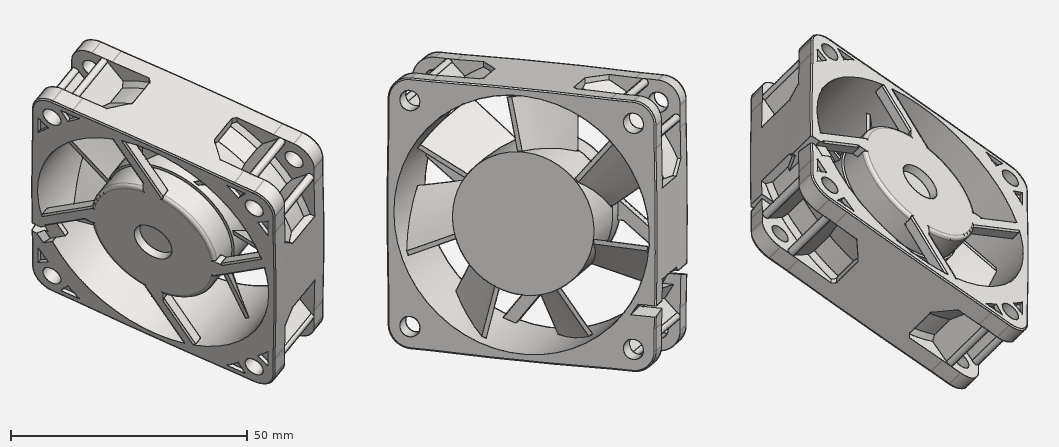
import cadquery as cq
import math

DEPTH = 20.2
FRONT = -DEPTH / 2
BACK = DEPTH / 2

HALF_SIDE = 29.95
SIDE_BOW = 0.25
CORNER_RADIUS = 5.0
BOW_START = HALF_SIDE - 2 * CORNER_RADIUS
RIM_CHAMFER = 0.3
DUCT_RADIUS = 28.55
MOUNT_OFFSET = 25.0
MOUNT_HOLE_DIAMETER = 4.45

BACK_FLANGE_Y = 6.15
FRONT_FLANGE_Y = -5.85
POCKET_START = 10.1
POCKET_SLOPE_Y = -1.75
POCKET_SLOPE_RUN = 3.9
POCKET_BACK_CHAMFER = 0.8
SIDE_SLOPE_Y = -2.9
SIDE_SLOPE_RUN = 2.95

DUCT_OUTER_RADIUS = 29.95
DUCT_BACK_RADIUS = 30.75
DUCT_FRONT_RADIUS = 32.15
BAND_BACK_Y = 4.85
BAND_FRONT_Y = -0.2

POST_NEAR = 21.9
POST_FAR = 29.05
POST_DIAMETER = 1.8
WEB_THICKNESS = 1.6
WEB_LENGTH = 7.85

TRIANGLE = [(-22.8, 28.4), (-18.3, 28.4), (-21.1, 25.9)]
TRIANGLE_DEPTH = 0.9

BASE_RADIUS = 15.45
BASE_LENGTH = 6.65
BASE_FILLET = 0.85
DIMPLE_RADIUS = 4.65
DIMPLE_DEPTH = 1.8
DIMPLE_TAPER = 10
STRUT_COUNT = 4
STRUT_ANGLE = 38.0
STRUT_INNER = 8.3
STRUT_OUTER = 11.2
STRUT_END = 27.8
STRUT_START = 10.25
FOOT_START = 15.1
FOOT_BURIED_Z = 14.6
STRUT_DEPTH = 2.4
STRUT_CHAMFER = 0.35

WIRE_FLOOR_Y = -8.75
WIRE_NEAR = 4.2
WIRE_START = 25.25
WIRE_END = 29.95
WIRE_SLOPE_END = 31.1
WIRE_TOP_Z = -11.2
WIRE_SPLIT_Z = -14.9
FRONT_GAP_INNER_Z = -12.55
FRONT_GAP_OUTER_Z = -13.7
BACK_GAP_INNER_Z = -16.55
BACK_GAP_OUTER_Z = -17.4

BLADE_COUNT = 7
FIRST_BLADE_ANGLE = 147.5
HUB_RADIUS = 15.8
HUB_GAP = 0.3
HUB_BACK_Y = 9.05
BLADE_TIP_RADIUS = 27.7
BLADE_ROOT_RADIUS = 15.1
BLADE_FRONT_Y = -2.4
BLADE_BACK_Y = 8.45
BLADE_EDGE_WIDTH = 1.1
TIP_START = -14.5
TIP_END = 11.5
ROOT_START = -9.5
ROOT_END = 27.0

BIG = 36.25
CUT_OVERLAP = 0.6
CORNER_SIGNS = [(-1, -1), (-1, 1), (1, -1), (1, 1)]


def front_plane(y):
    """Sketch plane with local X along X, local Y along Z, extruding toward +Y."""
    return cq.Workplane(cq.Plane(origin=(0, y, 0), xDir=(1, 0, 0), normal=(0, -1, 0)))


def prism(points, y_from, y_to):
    return front_plane(y_from).polyline(points).close().extrude(-(y_to - y_from))


def cylinder(radius, y_from, y_to, x=0, z=0):
    return front_plane(y_from).center(x, z).circle(radius).extrude(-(y_to - y_from))


def side_prism(points, x_from, x_to):
    """Prism along X over a (y, z) outline."""
    return cq.Workplane("YZ").workplane(offset=x_from).polyline(points).close().extrude(x_to - x_from)


def frame_block():
    corner = HALF_SIDE - CORNER_RADIUS
    diagonal = corner + CORNER_RADIUS * math.sqrt(0.5)
    bowed = HALF_SIDE + SIDE_BOW
    outline = front_plane(FRONT).moveTo(-BOW_START, HALF_SIDE)
    for angle in (0, -90, -180, -270):
        def turned(x, z, turn=math.radians(angle)):
            return (
                x * math.cos(turn) - z * math.sin(turn),
                x * math.sin(turn) + z * math.cos(turn),
            )

        outline = (
            outline.threePointArc(turned(0, bowed), turned(BOW_START, HALF_SIDE))
            .lineTo(*turned(corner, HALF_SIDE))
            .threePointArc(turned(diagonal, diagonal), turned(HALF_SIDE, corner))
            .lineTo(*turned(HALF_SIDE, BOW_START))
        )
    block = outline.close().extrude(-DEPTH)
    return block.faces("<Y or >Y").edges().chamfer(RIM_CHAMFER)


def duct_outside():
    """Solid whose outer surface is the duct wall in the corner pockets."""
    profile = [
        (0, FRONT_FLANGE_Y),
        (DUCT_FRONT_RADIUS, FRONT_FLANGE_Y),
        (DUCT_OUTER_RADIUS, BAND_FRONT_Y),
        (DUCT_OUTER_RADIUS, BAND_BACK_Y),
        (DUCT_BACK_RADIUS, BACK_FLANGE_Y),
        (0, BACK_FLANGE_Y),
    ]
    return cq.Workplane("XY").polyline(profile).close().revolve(360, (0, 0, 0), (0, 1, 0))


def corner_pocket():
    """Pocket of the +X +Z corner, before the duct wall is taken out of it."""
    profile = [
        (POCKET_START, POCKET_SLOPE_Y),
        (POCKET_START + POCKET_SLOPE_RUN, FRONT_FLANGE_Y),
        (BIG, FRONT_FLANGE_Y),
        (BIG, BACK_FLANGE_Y),
        (POCKET_START + POCKET_BACK_CHAMFER, BACK_FLANGE_Y),
        (POCKET_START, BACK_FLANGE_Y - POCKET_BACK_CHAMFER),
    ]
    side_profile = [
        (SIDE_SLOPE_Y, POCKET_START),
        (FRONT_FLANGE_Y, POCKET_START + SIDE_SLOPE_RUN),
        (FRONT_FLANGE_Y, BIG),
        (BACK_FLANGE_Y, BIG),
        (BACK_FLANGE_Y, POCKET_START),
    ]
    along_z = cq.Workplane("XY").polyline(profile).close().extrude(BIG)
    along_x = side_prism(side_profile, 0, BIG)
    return along_z.intersect(along_x).cut(duct_outside())


def corner_posts():
    """Posts and webs of the +X +Z corner; the webs run parallel to the corner diagonal."""
    posts = cq.Workplane()
    for x, z in ((POST_NEAR, POST_FAR), (POST_FAR, POST_NEAR)):
        post = cylinder(POST_DIAMETER / 2, FRONT_FLANGE_Y, BACK_FLANGE_Y, x, z)
        web = (
            cq.Workplane("XY")
            .box(WEB_LENGTH, BACK_FLANGE_Y - FRONT_FLANGE_Y, WEB_THICKNESS)
            .translate((-WEB_LENGTH / 2, (BACK_FLANGE_Y + FRONT_FLANGE_Y) / 2, 0))
            .rotate((0, 0, 0), (0, 1, 0), -45)
            .translate((x, 0, z))
        )
        posts = posts.add(post.union(web))
    return posts.combine()


def at_corner(shape, sign_x, sign_z):
    """Mirror a +X +Z corner feature into the corner with the given signs."""
    if sign_x < 0:
        shape = shape.mirror("YZ")
    if sign_z < 0:
        shape = shape.mirror("XY")
    return shape


def triangle_recesses():
    """The two recesses of the +X +Z corner, mirrored across its diagonal."""
    upper = [(-x, z) for x, z in TRIANGLE]
    lower = [(z, x) for x, z in upper]
    floor = FRONT + TRIANGLE_DEPTH
    return prism(upper, FRONT, floor).union(prism(lower, FRONT, floor))


def frame():
    body = frame_block()
    pocket = corner_pocket()
    posts = corner_posts()
    recesses = triangle_recesses()
    mount_hole = cylinder(MOUNT_HOLE_DIAMETER / 2, FRONT, BACK, MOUNT_OFFSET, MOUNT_OFFSET)
    for signs in CORNER_SIGNS:
        body = body.cut(at_corner(pocket, *signs))
        body = body.union(at_corner(posts, *signs))
        body = body.cut(at_corner(recesses, *signs))
        body = body.cut(at_corner(mount_hole, *signs))
    return body.cut(cylinder(DUCT_RADIUS, FRONT, BACK))


def motor_base():
    disc = cylinder(BASE_RADIUS, FRONT, FRONT + BASE_LENGTH)
    return disc.faces("<Y").edges().fillet(BASE_FILLET)


def strut_point(offset, along):
    """Point at a given offset from the fan axis and distance along the top strut."""
    turn = math.radians(STRUT_ANGLE)
    return (
        offset * math.cos(turn) - along * math.sin(turn),
        offset * math.sin(turn) + along * math.cos(turn),
    )


def strut():
    """Bar with chamfered front edges, along +Z before it is turned to the strut angle."""
    profile = [
        (STRUT_INNER + STRUT_CHAMFER, FRONT),
        (STRUT_OUTER - STRUT_CHAMFER, FRONT),
        (STRUT_OUTER, FRONT + STRUT_CHAMFER),
        (STRUT_OUTER, FRONT + STRUT_DEPTH),
        (STRUT_INNER, FRONT + STRUT_DEPTH),
        (STRUT_INNER, FRONT + STRUT_CHAMFER),
    ]
    bar = (
        cq.Workplane("XY", origin=(0, 0, STRUT_START))
        .polyline(profile)
        .close()
        .extrude(STRUT_END - STRUT_START)
        .rotate((0, 0, 0), (0, 1, 0), -STRUT_ANGLE)
    )
    foot_top = strut_point(STRUT_INNER + STRUT_CHAMFER, FOOT_START)
    foot = [
        foot_top,
        (foot_top[0], FOOT_BURIED_Z),
        strut_point(STRUT_INNER + STRUT_CHAMFER, STRUT_START),
    ]
    return bar.union(prism(foot, FRONT, FRONT + STRUT_DEPTH))


def dimple():
    return front_plane(FRONT).circle(DIMPLE_RADIUS).extrude(-DIMPLE_DEPTH, taper=DIMPLE_TAPER)


def beside_wire_strut(shape):
    """Turn a feature modelled beside the top strut to the strut on the -X side."""
    return shape.rotate((0, 0, 0), (0, 1, 0), -90)


def wire_ledge():
    outline = [
        strut_point(WIRE_NEAR, WIRE_START),
        strut_point(STRUT_INNER, WIRE_START),
        strut_point(STRUT_INNER, WIRE_END),
        strut_point(WIRE_NEAR, WIRE_END),
    ]
    return beside_wire_strut(prism(outline, WIRE_FLOOR_Y, FRONT + STRUT_DEPTH))


def wire_channel():
    """Channel in the front face whose outer end slopes up to the surface."""
    profile = [
        (WIRE_START - CUT_OVERLAP, FRONT),
        (WIRE_SLOPE_END, FRONT),
        (WIRE_END, WIRE_FLOOR_Y),
        (WIRE_START - CUT_OVERLAP, WIRE_FLOOR_Y),
    ]
    channel = (
        cq.Workplane("YZ")
        .polyline([(y, along) for along, y in profile])
        .close()
        .extrude(STRUT_INNER - WIRE_NEAR)
        .translate((WIRE_NEAR, 0, 0))
        .rotate((0, 0, 0), (0, 1, 0), -STRUT_ANGLE)
    )
    return beside_wire_strut(channel)


def wire_gaps():
    """Openings from the -X side through both flanges, down to the duct wall."""
    front_gap = [
        (FRONT, WIRE_TOP_Z),
        (FRONT, FRONT_GAP_OUTER_Z),
        (FRONT_FLANGE_Y, FRONT_GAP_INNER_Z),
        (FRONT_FLANGE_Y, WIRE_SPLIT_Z),
        (BAND_FRONT_Y, WIRE_SPLIT_Z),
        (BAND_FRONT_Y, WIRE_TOP_Z),
    ]
    back_gap = [
        (BACK_FLANGE_Y, WIRE_SPLIT_Z),
        (BACK, WIRE_SPLIT_Z),
        (BACK, BACK_GAP_OUTER_Z),
        (BACK_FLANGE_Y, BACK_GAP_INNER_Z),
    ]
    gaps = side_prism(front_gap, -BIG, 0).union(side_prism(back_gap, -BIG, 0))
    return gaps.cut(cylinder(DUCT_OUTER_RADIUS, FRONT, BACK))


def build_housing():
    body = frame().union(motor_base())
    for index in range(STRUT_COUNT):
        body = body.union(strut().rotate((0, 0, 0), (0, 1, 0), index * 360 / STRUT_COUNT))
    body = body.union(wire_ledge())
    return body.cut(dimple()).cut(wire_channel()).cut(wire_gaps())


def blade_section(radius, start, end):
    """Slanted blade section on a plane across the radius, sized by its end angles in degrees."""
    front_x = -radius * math.sin(math.radians(end))
    back_x = -radius * math.sin(math.radians(start))
    return [
        (front_x, BLADE_FRONT_Y),
        (front_x + BLADE_EDGE_WIDTH, BLADE_FRONT_Y),
        (back_x, BLADE_BACK_Y),
        (back_x - BLADE_EDGE_WIDTH, BLADE_BACK_Y),
    ]


def blade():
    """Blade standing along +Z, trimmed to the tip circle."""
    root = blade_section(BLADE_ROOT_RADIUS, ROOT_START, ROOT_END)
    tip = blade_section(BLADE_TIP_RADIUS, TIP_START, TIP_END)
    root_height = BLADE_ROOT_RADIUS * math.cos(math.radians(ROOT_END))
    sheet = (
        cq.Workplane("XY", origin=(0, 0, root_height))
        .polyline(root)
        .close()
        .workplane(offset=BLADE_TIP_RADIUS - root_height)
        .polyline(tip)
        .close()
        .loft(ruled=True)
    )
    return sheet.intersect(cylinder(BLADE_TIP_RADIUS, FRONT, BACK))


def build_impeller():
    body = cylinder(HUB_RADIUS, FRONT + BASE_LENGTH + HUB_GAP, HUB_BACK_Y)
    upright = blade()
    for index in range(BLADE_COUNT):
        angle = FIRST_BLADE_ANGLE - 90 + index * 360 / BLADE_COUNT
        body = body.union(upright.rotate((0, 0, 0), (0, 1, 0), -angle))
    return body


housing = build_housing()
impeller = build_impeller()
result = cq.Compound.makeCompound([housing.solids().val(), impeller.solids().val()])